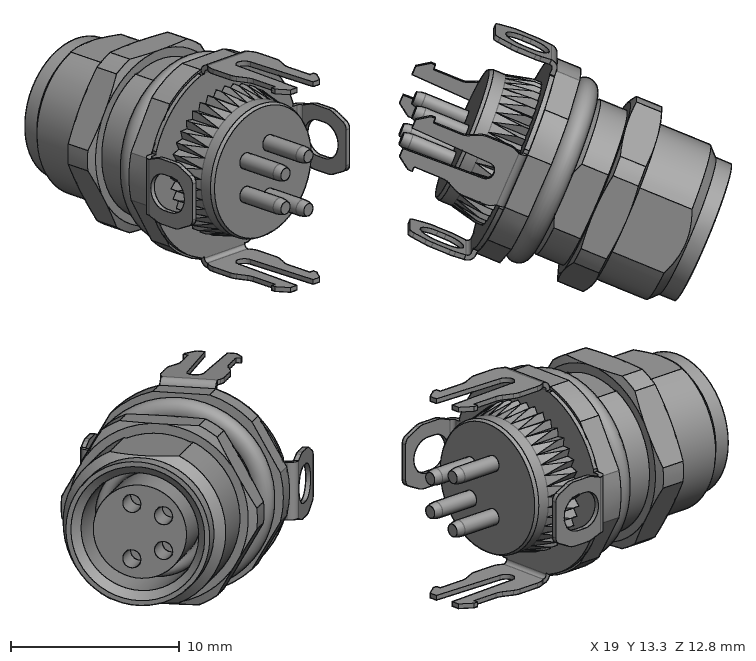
import cadquery as cq
import math


nose_dia = 8.8
thread_dia = 9.95
thread_flat_width = 9.0
neck_dia = 9.2
nose_length = 1.0
thread_end = 8.68

bore_dia = 7.2
insert_dia = 5.7
insert_depth = 0.5
socket_floor = 3.99
contact_hole_dia = 1.1
contact_hole_depth = 1.9
contact_places = [(0.5, 1.7), (0.5, -1.7), (-1.45, 1.06), (-1.45, -1.06)]

flange_start = 10.49
flange_end = 12.0
flange_dia = 12.5
flange_flat_width = 12.0

knurl_crest_dia = 9.2
collar_dia = 8.4
tooth_count = 40
taper_start = 12.79
collar_start = 14.48
collar_end = 15.48
collar_chamfer_length = 0.23
collar_chamfer_depth = 0.11

pin_dia = 1.0
pin_end = 18.8
pin_tip_length = 0.53
pin_tip_taper = 0.11

sheet = 0.3
bend_radius = 0.55
plate_dia = 12.24
plate_flat_width = 11.59
fork_height = 6.4
fork_root_width = 3.42
lug_height = 6.65
lug_root_width = 3.53
tab_edge_radius = 1.0
shoulder_start = 14.9
bend_end = flange_end + bend_radius

nut_start = 5.0
nut_length = 1.98
nut_bore_dia = 9.8
nut_flat_width = 10.98
nut_corner_dia = 12.0
nut_chamfer_length = 0.17

ring_section_dia = 1.5
ring_centre_dia = 10.3
ring_centre_x = flange_start - ring_section_dia / 2


def revolve_about_x(profile):
    """Full turn of a closed profile drawn in the XY plane with Y as the radius."""
    return profile.close().revolve(360, (0, 0, 0), (1, 0, 0))


def yz_plane(x):
    """Plane across the axis, with local X along Y, local Y along Z and +X as its normal."""
    return cq.Workplane("YZ", origin=(x, 0, 0))


def cylinder(start, end, diameter):
    return yz_plane(start).circle(diameter / 2).extrude(end - start)


def hexagon(start, end, flat_width):
    """Hexagonal prism along X with flats facing up and down."""
    corner_dia = flat_width / math.cos(math.pi / 6)
    return yz_plane(start).polygon(6, corner_dia).extrude(end - start)


def make_sleeve():
    """Threaded sleeve with its socket, the rounded seal rim and the contact insert."""
    front_chamfer = (thread_dia - nose_dia) / 2
    rear_chamfer = (thread_dia - neck_dia) / 2
    neck_start = thread_end + rear_chamfer
    rim_radius = (bore_dia - insert_dia) / 4
    rim_middle = (bore_dia + insert_dia) / 4
    profile = (
        cq.Workplane("XY")
        .moveTo(insert_depth, 0)
        .lineTo(insert_depth, insert_dia / 2)
        .lineTo(socket_floor, insert_dia / 2)
        .threePointArc((socket_floor - rim_radius, rim_middle), (socket_floor, bore_dia / 2))
        .lineTo(insert_depth, bore_dia / 2)
        .lineTo(0, bore_dia / 2 + insert_depth)
        .lineTo(0, nose_dia / 2)
        .lineTo(nose_length, nose_dia / 2)
        .lineTo(nose_length + front_chamfer, thread_dia / 2)
        .lineTo(thread_end, thread_dia / 2)
        .lineTo(neck_start, neck_dia / 2)
        .lineTo(neck_start, 0)
    )
    flats = cq.Workplane("XY").box(2 * neck_start, thread_dia, thread_flat_width)
    sleeve = revolve_about_x(profile).intersect(flats)
    neck = cylinder(neck_start, flange_start, neck_dia)
    holes = (
        yz_plane(insert_depth)
        .pushPoints(contact_places)
        .circle(contact_hole_dia / 2)
        .extrude(contact_hole_depth)
    )
    return sleeve.union(neck).cut(holes)


def make_flange():
    disc = cylinder(flange_start, flange_end, flange_dia)
    return disc.intersect(hexagon(flange_start, flange_end, flange_flat_width))


def make_knurl():
    """V-shaped teeth along the axis, cut to a cone that meets the collar."""
    outline = []
    for tooth in range(tooth_count):
        crest = 2 * math.pi * tooth / tooth_count
        root = crest + math.pi / tooth_count
        outline.append((knurl_crest_dia / 2 * math.cos(crest), knurl_crest_dia / 2 * math.sin(crest)))
        outline.append((collar_dia / 2 * math.cos(root), collar_dia / 2 * math.sin(root)))
    teeth = yz_plane(flange_end).polyline(outline).close().extrude(collar_start - flange_end)
    envelope = (
        cq.Workplane("XY")
        .moveTo(flange_end, 0)
        .lineTo(flange_end, knurl_crest_dia / 2)
        .lineTo(taper_start, knurl_crest_dia / 2)
        .lineTo(collar_start, collar_dia / 2)
        .lineTo(collar_start, 0)
    )
    return teeth.intersect(revolve_about_x(envelope))


def make_collar():
    profile = (
        cq.Workplane("XY")
        .moveTo(collar_start, 0)
        .lineTo(collar_start, collar_dia / 2)
        .lineTo(collar_end - collar_chamfer_length, collar_dia / 2)
        .lineTo(collar_end, collar_dia / 2 - collar_chamfer_depth)
        .lineTo(collar_end, 0)
    )
    return revolve_about_x(profile)


def make_pin(y, z):
    """Contact pin with a rounded, tapering tip, standing on the collar face."""
    radius = pin_dia / 2
    profile = (
        cq.Workplane("XY")
        .moveTo(collar_end, 0)
        .lineTo(collar_end, radius)
        .lineTo(pin_end - pin_tip_length, radius)
        .tangentArcPoint((pin_end, radius - pin_tip_taper), relative=False)
        .lineTo(pin_end, 0)
    )
    return revolve_about_x(profile).translate((0, y, z))


def make_plate():
    """Flat part of the shield: a disc with four short flats and the straight tab roots."""
    flats = yz_plane(flange_end).rect(plate_flat_width, plate_flat_width).extrude(sheet)
    disc = cylinder(flange_end, flange_end + sheet, plate_dia).intersect(flats)
    fork_roots = yz_plane(flange_end).rect(fork_root_width, 2 * (fork_height - bend_radius)).extrude(sheet)
    lug_roots = yz_plane(flange_end).rect(2 * (lug_height - bend_radius), lug_root_width).extrude(sheet)
    return disc.union(fork_roots).union(lug_roots)


def make_bend(height, width):
    """Quarter bend that turns the sheet from the plate into a tab on the +Z side."""
    centre_z = height - bend_radius
    inner_radius = bend_radius - sheet
    slant = math.sqrt(0.5)
    return (
        cq.Workplane("XZ", origin=(0, width / 2, 0))
        .moveTo(flange_end, centre_z)
        .threePointArc((bend_end - bend_radius * slant, centre_z + bend_radius * slant), (bend_end, height))
        .lineTo(bend_end, height - sheet)
        .threePointArc(
            (bend_end - inner_radius * slant, centre_z + inner_radius * slant), (flange_end + sheet, centre_z)
        )
        .close()
        .extrude(width)
    )


def make_blade(height, half_outline):
    """Flat tab in the XY plane, symmetric about the X axis, with its outer face at the given height."""
    mirrored_half = [(x, -y) for x, y in reversed(half_outline)]
    base = cq.Workplane("XY", origin=(0, 0, height - sheet))
    return base.polyline(half_outline + mirrored_half).close().extrude(sheet)


def round_sides(blade, corners, radius):
    """Round the upright edges of a blade at the given corners and at their mirror images."""
    for x, y in corners:
        for side in (1, -1):
            edge = cq.selectors.NearestToPointSelector((x, side * y, blade.val().Center().z))
            blade = blade.edges("|Z").edges(edge).fillet(radius)
    return blade


def make_fork_tab():
    """Snap-in tab on the +Z side with two barbed prongs."""
    flare_end = 13.0
    tab_half_width = 1.94
    prong_start = 15.95
    prong_half_width = 1.46
    prong_end = 19.0
    barb_start = 17.95
    barb_flat_end = 18.24
    barb_half_width = 1.77
    tip_half_width = 1.24
    slot_start = 13.45
    slot_half_width = 0.51
    slot_mouth_half_width = 0.68
    side_corners = [
        (flare_end, tab_half_width),
        (shoulder_start, tab_half_width),
        (prong_start, prong_half_width),
    ]
    barb = [
        (barb_start, prong_half_width),
        (barb_start, barb_half_width),
        (barb_flat_end, barb_half_width),
        (prong_end, tip_half_width),
    ]
    blade = make_blade(fork_height, [(bend_end, fork_root_width / 2)] + side_corners + barb)
    blade = round_sides(blade, side_corners, tab_edge_radius)
    slot = (
        cq.Workplane("XY", origin=(0, 0, fork_height - sheet))
        .moveTo(prong_end, slot_mouth_half_width)
        .lineTo(slot_start + slot_half_width, slot_half_width)
        .threePointArc((slot_start, 0), (slot_start + slot_half_width, -slot_half_width))
        .lineTo(prong_end, -slot_mouth_half_width)
        .close()
        .extrude(sheet)
    )
    return make_bend(fork_height, fork_root_width).union(blade.cut(slot))


def make_lug_tab():
    """Solder lug on the +Z side with an oblong hole."""
    flare_end = 13.38
    tab_half_width = 2.05
    lug_end = 16.17
    end_half_width = 1.45
    end_corner_radius = 0.5
    hole_length = 2.8
    hole_width = 2.28
    hole_centre_x = 14.1
    side_corners = [(flare_end, tab_half_width), (shoulder_start, tab_half_width)]
    end_corner = (lug_end, end_half_width)
    blade = make_blade(lug_height, [(bend_end, lug_root_width / 2)] + side_corners + [end_corner])
    blade = round_sides(blade, side_corners, tab_edge_radius)
    blade = round_sides(blade, [end_corner], end_corner_radius)
    hole = (
        cq.Workplane("XY", origin=(hole_centre_x, 0, lug_height - sheet))
        .slot2D(hole_length, hole_width)
        .extrude(sheet)
    )
    return make_bend(lug_height, lug_root_width).union(blade.cut(hole))


def make_shield():
    """Plate with fork tabs at +Z and -Z and lug tabs at +Y and -Y."""
    shield = make_plate()
    for tab, angles in ((make_fork_tab(), (0, 180)), (make_lug_tab(), (90, 270))):
        for angle in angles:
            shield = shield.union(tab.rotate((0, 0, 0), (1, 0, 0), angle))
    return shield


def make_housing():
    housing = make_sleeve().union(make_flange()).union(make_knurl()).union(make_collar())
    housing = housing.union(make_shield())
    for y, z in contact_places:
        housing = housing.union(make_pin(y, z))
    return housing


def make_nut():
    """Hex nut with rounded corners, chamfered at both ends."""
    nut_end = nut_start + nut_length
    envelope = (
        cq.Workplane("XY")
        .moveTo(nut_start, nut_bore_dia / 2)
        .lineTo(nut_start, nut_flat_width / 2)
        .lineTo(nut_start + nut_chamfer_length, nut_corner_dia / 2)
        .lineTo(nut_end - nut_chamfer_length, nut_corner_dia / 2)
        .lineTo(nut_end, nut_flat_width / 2)
        .lineTo(nut_end, nut_bore_dia / 2)
    )
    return revolve_about_x(envelope).intersect(hexagon(nut_start, nut_end, nut_flat_width))


def make_sealing_ring():
    section = cq.Workplane("XY").center(ring_centre_x, ring_centre_dia / 2).circle(ring_section_dia / 2)
    return section.revolve(360, (0, -ring_centre_dia / 2, 0), (1, -ring_centre_dia / 2, 0))


sealing_ring = make_sealing_ring()
housing = make_housing().cut(sealing_ring).solids()
nut = make_nut().cut(housing).solids()

result = cq.Compound.makeCompound([housing.val(), nut.val(), sealing_ring.val()])